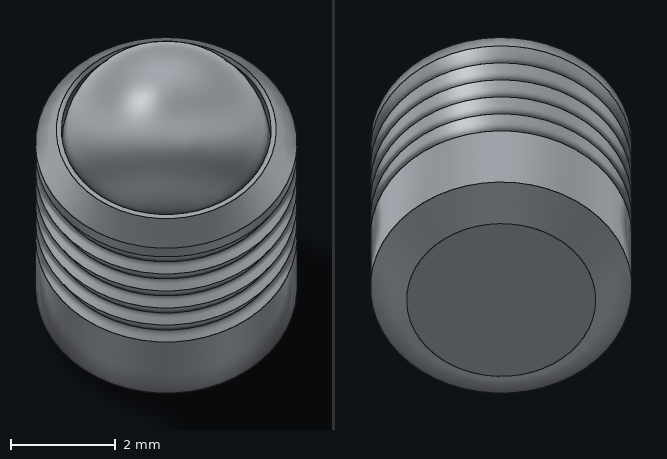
import cadquery as cq

total_height = 7.0
body_radius = 2.5
body_height = 5.5

ball_radius = 2.0
ball_center_z = total_height - ball_radius

rim_radius = 2.1
top_chamfer_height = 0.41
base_radius = 1.805
base_chamfer_height = 0.4

groove_count = 5
grooved_length = 2.75
groove_pitch = grooved_length / groove_count
groove_depth = 0.19
lower_flank_height = 0.13
first_groove_z = 2.06


def make_body_blank():
    """Turned body with five sharp V grooves and chamfered ends."""
    profile = [(0, 0), (base_radius, 0), (body_radius, base_chamfer_height)]
    for index in range(groove_count):
        groove_z = first_groove_z + index * groove_pitch
        profile.append((body_radius, groove_z))
        profile.append((body_radius - groove_depth, groove_z + lower_flank_height))
    profile += [
        (body_radius, first_groove_z + grooved_length),
        (body_radius, body_height - top_chamfer_height),
        (rim_radius, body_height),
        (0, body_height),
    ]
    return cq.Workplane("XZ").polyline(profile).close().revolve(360, (0, 0), (0, 1))


def make_ball():
    """Full ball whose center lies below the rim of the body."""
    return cq.Workplane("XY").sphere(ball_radius).translate((0, 0, ball_center_z))


def make_body(ball):
    """Body with a round-bottomed seat: straight bore above the equator of the ball."""
    bore_depth = body_height - ball_center_z
    bore = cq.Workplane("XY").workplane(offset=ball_center_z).circle(ball_radius).extrude(bore_depth)
    return make_body_blank().cut(bore).cut(ball)


ball = make_ball()
body = make_body(ball)

result = cq.Compound.makeCompound([body.val(), ball.val()])